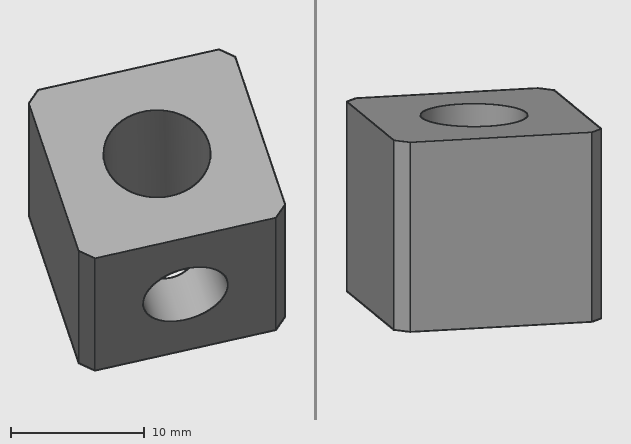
import cadquery as cq

side = 16.0
height = 14.5
corner_chamfer = 1.0
bore_diameter = side / 2
cross_hole_diameter = 6.56

block = cq.Workplane("XY").box(side, side, height, centered=(True, True, False))
block = block.edges("|Z").chamfer(corner_chamfer)

bore = cq.Workplane("XY").circle(bore_diameter / 2).extrude(height)

cross_hole = (
    cq.Workplane("YZ")
    .center(0, height / 2)
    .circle(cross_hole_diameter / 2)
    .extrude(side / 2)
)

result = block.cut(bore).cut(cross_hole)